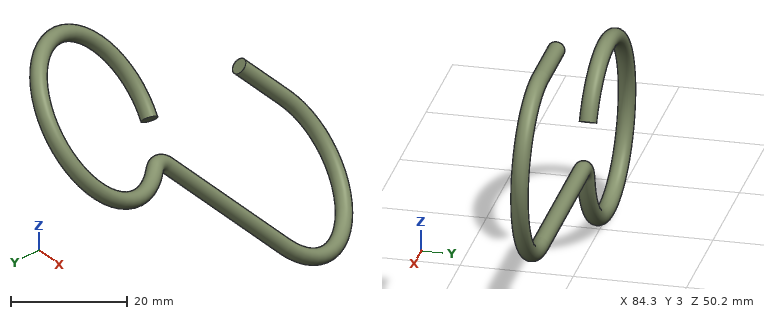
import cadquery as cq
import math

wire_diameter = 3.0
ring_radius = 15.6
ring_end_angle = 27.0
bend_radius = 3.4
hook_radius = 15.8
tip_length = 12.1
overall_length = 84.3

hook_x = overall_length - wire_diameter - ring_radius - hook_radius
hook_top = 2 * hook_radius

bend_center_distance = ring_radius + bend_radius
shank_start_x = math.sqrt(bend_center_distance**2 - bend_radius**2)
joint_angle = -math.degrees(math.asin(bend_radius / bend_center_distance))


def polar_point(radius, angle, center=(0, 0)):
    """Point on a circle in the XZ plane, with the angle in degrees from +X."""
    turn = math.radians(angle)
    return (center[0] + radius * math.cos(turn), center[1] + radius * math.sin(turn))


ring_end = polar_point(ring_radius, ring_end_angle)
ring_middle = polar_point(ring_radius, (ring_end_angle + joint_angle + 360) / 2)
ring_joint = polar_point(ring_radius, joint_angle)

bend_middle_angle = (90 + 180 + joint_angle) / 2
bend_middle = polar_point(bend_radius, bend_middle_angle, (shank_start_x, -bend_radius))

centerline = (
    cq.Workplane("XZ")
    .moveTo(*ring_end)
    .threePointArc(ring_middle, ring_joint)
    .threePointArc(bend_middle, (shank_start_x, 0))
    .lineTo(hook_x, 0)
    .threePointArc((hook_x + hook_radius, hook_radius), (hook_x, hook_top))
    .lineTo(hook_x - tip_length, hook_top)
)

end_turn = math.radians(ring_end_angle)
end_plane = cq.Plane(
    origin=(ring_end[0], 0, ring_end[1]),
    xDir=(0, 1, 0),
    normal=(-math.sin(end_turn), 0, math.cos(end_turn)),
)
result = cq.Workplane(end_plane).circle(wire_diameter / 2).sweep(centerline)